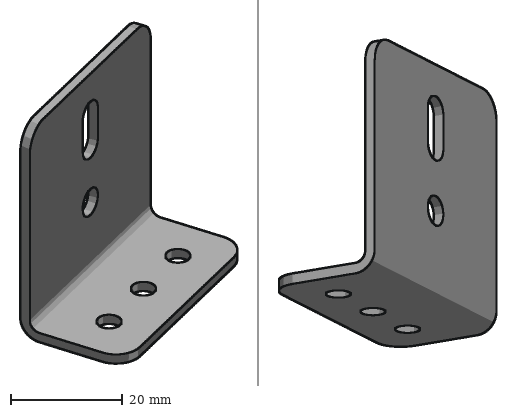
import cadquery as cq

depth = 22.0
width = 44.0
height = 44.5
thickness = 2.0
inner_bend_radius = 2.0
outer_bend_radius = inner_bend_radius + thickness
corner_radius = 5.0

base_hole_diameter = 4.5
base_hole_x = 13.0
base_hole_pitch = 12.5
base_hole_count = 3

upright_hole_diameter = 5.5
upright_hole_z = 17.0
slot_width = upright_hole_diameter
slot_length = 12.0
slot_top_margin = 6.0
slot_z = height - slot_top_margin - slot_length / 2


def bent_sheet():
    """L-shaped sheet, centred on Y, with concentric inner and outer bends."""
    profile = (
        cq.Workplane("XZ")
        .moveTo(0, height)
        .lineTo(0, outer_bend_radius)
        .radiusArc((outer_bend_radius, 0), -outer_bend_radius)
        .lineTo(depth, 0)
        .lineTo(depth, thickness)
        .lineTo(outer_bend_radius, thickness)
        .radiusArc((thickness, outer_bend_radius), inner_bend_radius)
        .lineTo(thickness, height)
        .close()
    )
    return profile.extrude(width / 2, both=True)


def round_free_corners(sheet):
    """Round the two outer corners of each flange."""
    sheet = sheet.faces(">X").edges("|Z").fillet(corner_radius)
    return sheet.faces(">Z").edges("|X").fillet(corner_radius)


def base_hole_cutter():
    """Row of round holes through the base flange."""
    return (
        cq.Workplane("XY")
        .center(base_hole_x, 0)
        .rarray(1, base_hole_pitch, 1, base_hole_count)
        .circle(base_hole_diameter / 2)
        .extrude(thickness)
    )


def upright_cutter():
    """Round hole and vertical slot through the upright flange."""
    hole = (
        cq.Workplane("YZ")
        .center(0, upright_hole_z)
        .circle(upright_hole_diameter / 2)
        .extrude(thickness)
    )
    slot = (
        cq.Workplane("YZ")
        .center(0, slot_z)
        .slot2D(slot_length, slot_width, 90)
        .extrude(thickness)
    )
    return hole.union(slot)


bracket = round_free_corners(bent_sheet())
result = bracket.cut(base_hole_cutter()).cut(upright_cutter())